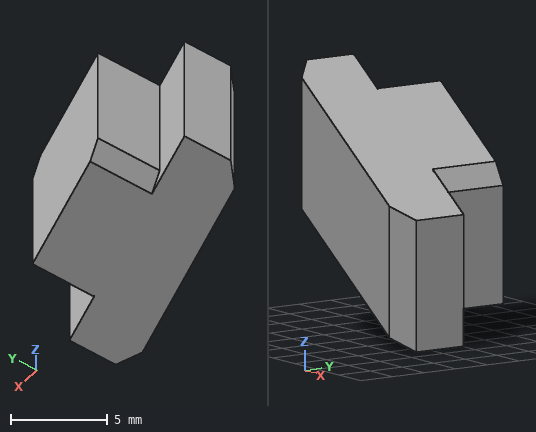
import cadquery as cq
import math

head_width = 10.0
head_depth = 4.0
stem_width = 5.7
total_depth = 8.0
head_chamfer = 1.0
thickness = 5.7
slant_angle = math.radians(35)
stem_chamfer_leg = 0.7
stem_chamfer_angle = math.radians(30)

slope = math.tan(slant_angle)
half_height = thickness / math.cos(slant_angle) / 2
front_y = 0.0
shoulder_y = front_y + head_depth


stem_chamfer_width = stem_chamfer_leg / (1 / math.tan(stem_chamfer_angle) - slope)


def slanted_z(x, side):
    """Height of the upper (side=1) or lower (side=-1) slanted face at x."""
    return side * half_height - slope * x


def extrude_section(corners, start_y, depth):
    """Extrude an XZ outline towards +Y from start_y."""
    return cq.Workplane("XZ", origin=(0, start_y, 0)).polyline(corners).close().extrude(-depth)


def make_head():
    """Wide front bar with its two front vertical edges chamfered."""
    half_width = head_width / 2
    corners = [
        (-half_width, slanted_z(-half_width, 1)),
        (half_width, slanted_z(half_width, 1)),
        (half_width, slanted_z(half_width, -1)),
        (-half_width, slanted_z(-half_width, -1)),
    ]
    head = extrude_section(corners, front_y, head_depth)
    return head.faces("<Y").edges("|Z").chamfer(head_chamfer)


def make_stem():
    """Narrow rear block whose two obtuse corners are cut off by the stem chamfer."""
    half_width = stem_width / 2
    corners = []
    for side in (1, -1):
        side_x = side * half_width
        chamfer_x = side_x - side * stem_chamfer_width
        corners += [
            (-side_x, slanted_z(-side_x, side)),
            (chamfer_x, slanted_z(chamfer_x, side)),
            (side_x, slanted_z(side_x, side) - side * stem_chamfer_leg),
        ]
    return extrude_section(corners, shoulder_y, total_depth - head_depth)


result = make_head().union(make_stem())